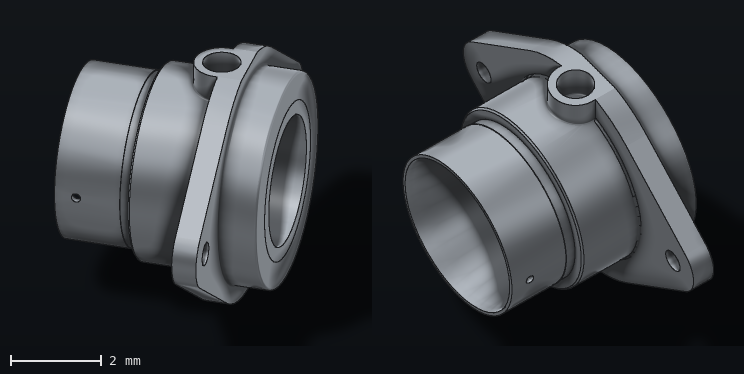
import cadquery as cq
import math

TUBE_END = 1.5
SHOULDER_START = 1.75
FLANGE_START = 3.33
FLANGE_THICKNESS = 0.555
FLANGE_END = FLANGE_START + FLANGE_THICKNESS
LENGTH = 4.76

TUBE_RADIUS = 1.99
RELIEF_RADIUS = 1.98
SHOULDER_RADIUS = 2.245
DISC_RADIUS = 2.45
EDGE_BREAK = 0.04
FILLET = 0.05

MOUTH_RADIUS = 1.91
INSERT_START = 2.24
INSERT_BORE_RADIUS = 1.58
THROAT_RADIUS = 1.48
INSERT_RADIUS = 1.81

HEIGHT = 5.68
EAR_TIP = 4.205
EAR_RADIUS = 0.77
EAR_HOLE_Y = 3.45
EAR_HOLE_RADIUS = 0.26

PORT_X = 3.255
PORT_RADIUS = 0.62
PORT_HOLE_RADIUS = 0.42
PORT_FLOOR_RADIUS = 2.035

FLANGE_RADIUS = (HEIGHT**2 + PORT_RADIUS**2) / (2 * HEIGHT)
PORT_TOP = HEIGHT - FLANGE_RADIUS

PIN_HOLE_X = 0.5
PIN_HOLE_RADIUS = 0.1


def cylinder(radius, start, end):
    return cq.Workplane("YZ", origin=(start, 0, 0)).circle(radius).extrude(end - start)


def revolved_bore():
    profile = [
        (0, 0),
        (0, MOUTH_RADIUS),
        (INSERT_START, INSERT_BORE_RADIUS),
        (LENGTH, THROAT_RADIUS),
        (LENGTH, 0),
    ]
    return cq.Workplane("XY").polyline(profile).close().revolve(360, (0, 0, 0), (1, 0, 0))


def flange():
    """Central disc joined to two rounded ears by their common tangents."""
    ear_y = EAR_TIP - EAR_RADIUS
    tilt = math.acos((FLANGE_RADIUS - EAR_RADIUS) / ear_y)
    along, up = math.cos(tilt), math.sin(tilt)
    hub_y, hub_z = FLANGE_RADIUS * along, FLANGE_RADIUS * up
    tip_y, tip_z = ear_y + EAR_RADIUS * along, EAR_RADIUS * up
    plate = (
        cq.Workplane("YZ", origin=(FLANGE_START, 0, 0))
        .moveTo(-hub_y, hub_z)
        .threePointArc((0, FLANGE_RADIUS), (hub_y, hub_z))
        .lineTo(tip_y, tip_z)
        .threePointArc((EAR_TIP, 0), (tip_y, -tip_z))
        .lineTo(hub_y, -hub_z)
        .threePointArc((0, -FLANGE_RADIUS), (-hub_y, -hub_z))
        .lineTo(-tip_y, -tip_z)
        .threePointArc((-EAR_TIP, 0), (-tip_y, tip_z))
        .close()
        .extrude(FLANGE_THICKNESS)
    )
    holes = (
        cq.Workplane("YZ", origin=(FLANGE_START, 0, 0))
        .pushPoints([(-EAR_HOLE_Y, 0), (EAR_HOLE_Y, 0)])
        .circle(EAR_HOLE_RADIUS)
        .extrude(FLANGE_THICKNESS)
    )
    crown = cq.Workplane("XY", origin=(FLANGE_START, 0, PORT_TOP)).box(
        2 * FLANGE_THICKNESS, 2 * PORT_RADIUS, FLANGE_RADIUS, centered=(True, True, False)
    )
    return plate.cut(holes).cut(crown)


def port_boss():
    """Upright boss, round in front and running square into the flange."""
    base = cq.Workplane("XY")
    post = base.center(PORT_X, 0).circle(PORT_RADIUS).extrude(PORT_TOP)
    web_length = FLANGE_END - PORT_X
    web = base.center(PORT_X + web_length / 2, 0).rect(web_length, 2 * PORT_RADIUS).extrude(PORT_TOP)
    return post.union(web).intersect(cylinder(2 * FLANGE_RADIUS, 0, FLANGE_END))


def port_hole():
    """Blind hole with a floor concentric with the bore and a rounded floor corner."""
    hole = cq.Workplane("XY", origin=(PORT_X, 0, 0)).circle(PORT_HOLE_RADIUS).extrude(PORT_TOP)
    hole = hole.cut(cylinder(PORT_FLOOR_RADIUS, 0, LENGTH))
    return hole.faces("<Z").edges().fillet(FILLET)


def pin_hole():
    """Radial hole through the -Y wall of the tube."""
    return cq.Workplane("XZ", origin=(PIN_HOLE_X, 0, 0)).circle(PIN_HOLE_RADIUS).extrude(TUBE_RADIUS)


def round_roots(body):
    """Fillet the concave corners where the boss, shoulder and disc meet the flange."""
    reach = DISC_RADIUS + FILLET
    root_zone = cq.selectors.BoxSelector(
        (SHOULDER_START + FILLET, -reach, -reach),
        (FLANGE_END + FILLET, reach, reach),
        boundingbox=True,
    )
    return body.edges(root_zone).edges("not %LINE").fillet(FILLET)


def make_housing():
    shoulder = cylinder(SHOULDER_RADIUS, SHOULDER_START, FLANGE_END)
    shoulder = shoulder.faces("<X").edges().chamfer(EDGE_BREAK)
    disc = cylinder(DISC_RADIUS, FLANGE_START, LENGTH)
    disc = disc.faces(">X").edges().fillet(FILLET)
    body = round_roots(shoulder.union(flange()).union(disc).union(port_boss()))
    tube = cylinder(TUBE_RADIUS, 0, TUBE_END)
    relief = cylinder(RELIEF_RADIUS, 0, FLANGE_START)
    body = body.union(tube).union(relief)
    body = body.cut(revolved_bore()).cut(port_hole()).cut(pin_hole())
    return body.cut(cylinder(INSERT_RADIUS, INSERT_START, LENGTH))


def make_insert():
    return cylinder(INSERT_RADIUS, INSERT_START, LENGTH).cut(revolved_bore())


housing = make_housing()
insert = make_insert()
result = cq.Compound.makeCompound([housing.val(), insert.val()])